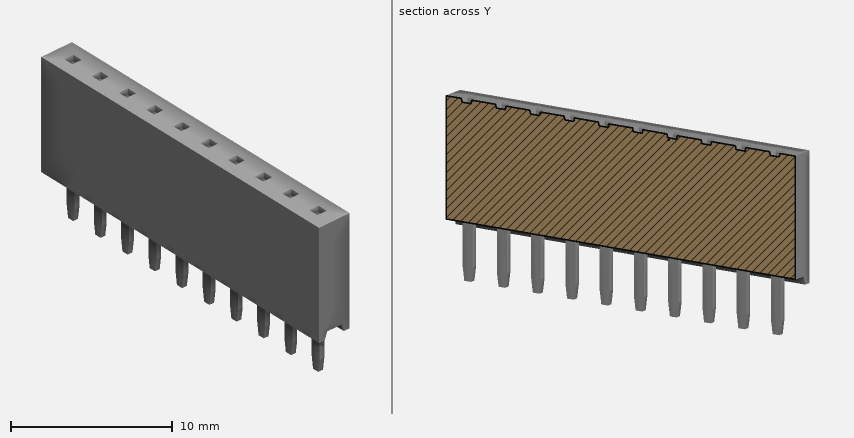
import cadquery as cq

pin_count = 10
pitch = 2.55
housing_length = 25.9
housing_depth = pitch
overall_height = 11.7
pin_length = 3.2
housing_height = overall_height - pin_length

channel_height = 0.57
channel_mouth_width = 1.58
channel_roof_width = 1.2

pin_width = 0.75
pin_thickness = 0.4
tip_width = 0.5
tip_length = 0.95

socket_mouth = 0.75
socket_floor = 0.55
socket_depth = 0.4

row_start = -pitch * (pin_count - 1) / 2
stations = [row_start + i * pitch for i in range(pin_count)]


def make_housing():
    """Rectangular bar with the channel cut along its full length."""
    bar = cq.Workplane("XY").box(
        housing_length, housing_depth, housing_height, centered=(True, True, False)
    )
    channel = (
        cq.Workplane("YZ")
        .polyline([
            (-channel_mouth_width / 2, 0),
            (channel_mouth_width / 2, 0),
            (channel_roof_width / 2, channel_height),
            (-channel_roof_width / 2, channel_height),
        ])
        .close()
        .extrude(housing_length / 2, both=True)
    )
    return bar.cut(channel)


def make_pin(x):
    """Flat pin hanging from the channel roof."""
    shoulder_z = tip_length - pin_length
    return (
        cq.Workplane("XZ")
        .polyline([
            (x - pin_width / 2, channel_height),
            (x - pin_width / 2, shoulder_z),
            (x - tip_width / 2, -pin_length),
            (x + tip_width / 2, -pin_length),
            (x + pin_width / 2, shoulder_z),
            (x + pin_width / 2, channel_height),
        ])
        .close()
        .extrude(pin_thickness / 2, both=True)
    )


def make_socket(x):
    """Material removed by one socket."""
    return (
        cq.Workplane("XY", origin=(x, 0, housing_height))
        .rect(socket_mouth, socket_mouth)
        .workplane(offset=-socket_depth)
        .rect(socket_floor, socket_floor)
        .loft(ruled=True)
    )


result = make_housing()
for station in stations:
    result = result.cut(make_socket(station)).union(make_pin(station))